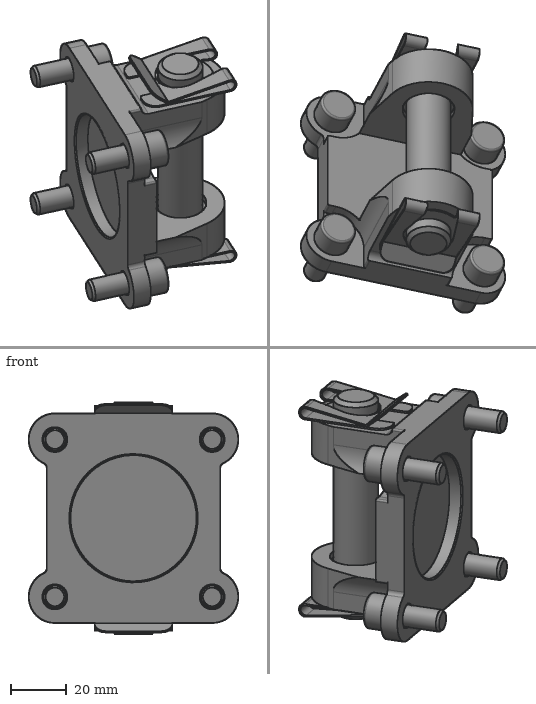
import cadquery as cq
import math


bolt_pitch = 56.2
ear_radius = 9.4
ear_height = 6.5
body_height = 11.0
body_width = 62.1
ear_blend_radius = 1.8
recess_diameter = 45.0
recess_depth = 5.0
recess_chamfer = 0.5
bolt_hole_diameter = 9.0

pocket_radius = 12.2
pocket_edge_radius = 0.7

pin_height = 31.8
lug_radius = 15.85
lug_width = 38.7
lug_taper_height = 22.2
lug_inner = 19.8
lug_outer = 34.9
counterbore_diameter = 18.6
counterbore_depth = 2.2

pin_length = 83.0
pin_diameter = 16.0
pin_chamfer = 1.5
groove_diameter = 12.0
groove_inner = 35.1
groove_outer = 36.4

shank_diameter = 8.0
shank_reach = 13.6
shank_chamfer = 0.7
shank_chamfer_length = 1.0
head_diameter = 13.0
head_height = 8.05
head_round = 0.75

clip_width = 27.7
sheet = 0.7
base_end = 14.0
base_level = 35.5
bend_outer_radius = 2.5
clip_top = 48.05
leaf_angle = 8.6
kink_height = 21.9
tip_angle = 38.0
tip_end = 16.4
tip_corner_radius = 4.0
tab_outer_radius = 5.0
tab_inner_radius = 1.0
window_radius = 9.0
window_mouth = 11.6
bridge_radius = 11.95
bridge_corner_radius = 0.75

bolt_offset = bolt_pitch / 2
half_body = body_width / 2
flange_edge = bolt_offset + ear_radius
pocket_wall = bolt_offset - pocket_radius
half_lug = lug_width / 2
diagonal = math.sqrt(0.5)


def plan(y=0.0):
    """Workplane facing +Y at height y, with local axes (Z, X)."""
    return cq.Workplane(cq.Plane(origin=(0, y, 0), xDir=(0, 0, 1), normal=(0, 1, 0)))


def prism_z(outline, z_low, z_high):
    """Extrude an outline drawn in X and Y from z_low to z_high."""
    return outline.extrude(z_high - z_low).translate((0, 0, z_low))


def tangent_point(radius, x, y):
    """Point on a circle about the origin, on the +X side, whose tangent passes through (x, y)."""
    angle = math.atan2(y, x)
    opening = math.acos(radius / math.hypot(x, y))
    angle += opening if y < 0 else -opening
    return radius * math.cos(angle), radius * math.sin(angle)


def four_corners(shape):
    """The shape and its mirror images across X = 0 and Z = 0."""
    row = [shape, shape.mirror("YZ")]
    return row + [copy.mirror("XY") for copy in row]



def flange():
    """Ear plate with round corners that blend into the narrower sides."""
    plate = plan().rect(2 * flange_edge, bolt_pitch).extrude(ear_height)
    plate = plate.union(plan().rect(bolt_pitch, body_width).extrude(ear_height))
    ears = plan().rect(bolt_pitch, bolt_pitch, forConstruction=True).vertices()
    plate = plate.union(ears.circle(ear_radius).extrude(ear_height)).clean()
    margin = 0.8
    corner = bolt_offset - math.sqrt(ear_radius**2 - (half_body - bolt_offset)**2)

    for side in (-1, 1):
        for end in (-1, 1):
            near = cq.selectors.BoxSelector(
                (side * half_body - margin, -margin, end * corner - margin),
                (side * half_body + margin, ear_height + margin, end * corner + margin),
            )
            plate = plate.edges("|Y").edges(near).fillet(ear_blend_radius)
    return plate


def lug():
    """Upper lug: round nose about the pin, flanks that taper to parallel sides."""
    x, y = tangent_point(lug_radius, half_lug, lug_taper_height - pin_height)
    outline = (
        cq.Workplane("XY")
        .moveTo(-half_lug, 0)
        .lineTo(half_lug, 0)
        .lineTo(half_lug, lug_taper_height)
        .lineTo(x, pin_height + y)
        .threePointArc((0, pin_height + lug_radius), (-x, pin_height + y))
        .lineTo(-half_lug, lug_taper_height)
        .close()
    )
    return prism_z(outline, lug_inner, lug_outer)


def lug_root():
    """Concave blend from the outer face of the upper lug to the flange edge."""
    radius = flange_edge - lug_outer
    top = body_height + radius
    return (
        cq.Workplane("YZ")
        .moveTo(body_height, lug_outer)
        .lineTo(top, lug_outer)
        .threePointArc((top - radius * diagonal, flange_edge - radius * diagonal), (body_height, flange_edge))
        .close()
        .extrude(pocket_wall, both=True)
    )


def head_pocket():
    """Pocket around the +X +Z bolt head, open to both sides, with rounded edges at the openings."""
    wall, r = pocket_wall, pocket_edge_radius
    bulge = r * (1 - diagonal)
    inner = bolt_offset - pocket_radius * diagonal
    return (
        plan(ear_height)
        .moveTo(bolt_offset, wall)
        .lineTo(flange_edge - r, wall)
        .threePointArc((flange_edge - bulge, wall - bulge), (flange_edge, wall - r))
        .lineTo(flange_edge, half_body)
        .lineTo(wall - r, half_body)
        .threePointArc((wall - bulge, half_body - bulge), (wall, half_body - r))
        .lineTo(wall, bolt_offset)
        .threePointArc((inner, inner), (bolt_offset, wall))
        .close()
        .extrude(pin_height + lug_radius)
    )


def recess():
    """Shallow round recess in the mounting face with a chamfered rim."""
    radius = recess_diameter / 2
    rim = radius + recess_chamfer
    return (
        cq.Workplane("XY")
        .polyline([(0, 0), (rim, 0), (radius, recess_chamfer), (radius, recess_depth), (0, recess_depth)])
        .close()
        .revolve(360, (0, 0), (0, 1))
    )


def pin_bore():
    """Bore through both lugs, counterbored from the gap between them."""
    axis = cq.Workplane("XY").center(0, pin_height)
    bore = axis.circle(pin_diameter / 2).extrude(lug_outer, both=True)
    return bore.union(axis.circle(counterbore_diameter / 2).extrude(lug_inner + counterbore_depth, both=True))


def make_bracket():
    block = plan(ear_height).rect(2 * flange_edge, body_width).extrude(body_height - ear_height)
    body = flange().union(block)
    for part in (lug(), lug_root()):
        body = body.union(part).union(part.mirror("XY"))
    for pocket in four_corners(head_pocket()):
        body = body.cut(pocket)
    bolt_holes = plan().rect(bolt_pitch, bolt_pitch, forConstruction=True).vertices()
    body = body.cut(bolt_holes.circle(bolt_hole_diameter / 2).extrude(ear_height))
    return body.cut(pin_bore()).cut(recess())



def make_pin():
    pin = cq.Workplane("XY").circle(pin_diameter / 2).extrude(pin_length / 2, both=True)
    pin = pin.faces("<Z or >Z").chamfer(pin_chamfer)
    ring = cq.Workplane("XY").circle(pin_diameter / 2).circle(groove_diameter / 2)
    groove = prism_z(ring, groove_inner, groove_outer)
    return pin.cut(groove).cut(groove.mirror("XY")).translate((0, pin_height, 0))



def make_bolt():
    """Bolt of the +X +Z corner, its head resting on the ear."""
    head = plan(ear_height).circle(head_diameter / 2).extrude(head_height)
    head = head.faces(">Y").edges().fillet(head_round)
    shank = plan(-shank_reach).circle(shank_diameter / 2).extrude(shank_reach + ear_height)
    shank = shank.faces("<Y").chamfer(shank_chamfer_length, shank_chamfer)
    return head.union(shank).translate((bolt_offset, 0, bolt_offset))



def bent_sheet():
    """Sheet folded over at the top: flat base, bend, sloping leaf and kicked-up tip."""
    half = sheet / 2
    slope = math.radians(leaf_angle)
    kick = math.radians(tip_angle)
    bend_y = clip_top - bend_outer_radius
    bend_z = base_level - half + bend_outer_radius
    bend_inner_radius = bend_outer_radius - sheet
    leaf_normal = cq.Vector(0, -math.sin(slope), math.cos(slope))
    tip_normal = cq.Vector(0, math.sin(kick), math.cos(kick))

    bend_centre = cq.Vector(0, bend_y, bend_z)
    leaf_start = bend_centre + leaf_normal * (bend_outer_radius - half)
    kink_z = leaf_start.z - (leaf_start.y - kink_height) * math.tan(slope)
    kink = cq.Vector(0, kink_height, kink_z)
    tip = cq.Vector(0, tip_end, kink_z + (kink_height - tip_end) * math.tan(kick))
    mitre = (leaf_normal + tip_normal).normalized() * (half / math.cos((slope + kick) / 2))

    def yz(point):
        return point.y, point.z

    folded = (
        cq.Workplane("YZ")
        .moveTo(base_end, base_level - half)
        .lineTo(bend_y, base_level - half)
        .threePointArc((clip_top, bend_z), yz(leaf_start + leaf_normal * half))
        .lineTo(*yz(kink + mitre))
        .lineTo(*yz(tip + tip_normal * half))
        .lineTo(*yz(tip - tip_normal * half))
        .lineTo(*yz(kink - mitre))
        .lineTo(*yz(leaf_start - leaf_normal * half))
        .threePointArc((bend_y + bend_inner_radius, bend_z), (bend_y, base_level + half))
        .lineTo(base_end, base_level + half)
        .close()
        .extrude(clip_width / 2, both=True)
    )
    return folded.edges(cq.selectors.ParallelDirSelector(tip_normal)).fillet(tip_corner_radius)


def slot_outline():
    """Slot that slides over the pin groove, open at the base end."""
    radius = groove_diameter / 2
    return (
        cq.Workplane("XY")
        .moveTo(radius, 0)
        .lineTo(radius, pin_height)
        .threePointArc((0, pin_height + radius), (-radius, pin_height))
        .lineTo(-radius, 0)
        .close()
    )


def window_outline():
    """Window round about the pin, narrowing towards the bend."""
    mouth = window_mouth / 2
    x, y = tangent_point(window_radius, mouth, clip_top - pin_height)
    return (
        cq.Workplane("XY")
        .moveTo(mouth, clip_top)
        .lineTo(x, pin_height + y)
        .threePointArc((0, pin_height - window_radius), (-x, pin_height + y))
        .lineTo(-mouth, clip_top)
        .close()
    )


def make_clip():
    """Upper clip: its slotted base sits in the pin groove, its leaf surrounds the pin end."""
    base_bottom = base_level - sheet / 2
    base_top = base_level + sheet / 2
    above_clip = pin_length / 2
    clip = bent_sheet()

    clip = clip.cut(prism_z(slot_outline(), base_bottom, base_top))
    clip = clip.edges("|Z").edges("<Y").edges("not(<X or >X)").fillet(tab_inner_radius)
    clip = clip.edges("|Z").edges("<X or >X").fillet(tab_outer_radius)

    clip = clip.cut(prism_z(window_outline(), base_top, above_clip))

    bridge = cq.Workplane("XY").center(0, pin_height).circle(bridge_radius).extrude(above_clip)
    notch = prism_z(window_outline(), base_bottom, base_top).cut(bridge)
    notch = notch.edges("|Z").edges("<Y").fillet(bridge_corner_radius)
    return clip.cut(notch)


bracket = make_bracket()
pin = make_pin()
bolts = four_corners(make_bolt())
upper_clip = make_clip()
clips = [upper_clip, upper_clip.mirror("XY")]

result = cq.Compound.makeCompound([body.solids().val() for body in (bracket, pin, *bolts, *clips)])